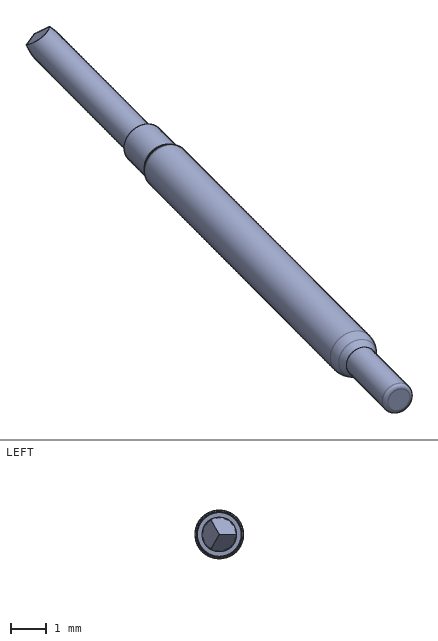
import cadquery as cq
import math

total_length = 23.62

plunger_radius = 0.97 / 2
collar_radius = 1.23 / 2
barrel_radius = 1.37 / 2
tail_radius = 0.92 / 2

collar_start = 7.09
shoulder_start = 8.39
barrel_start = 8.57
barrel_end = 20.6

shoulder_round = 0.15
shoulder_angle = math.radians(45)
neck_round = 0.7
neck_angle = math.radians(30)
tail_round = 0.12

tip_faces = 3
ridge_slope = math.tan(math.radians(45))


def rounded_edge(edge_x, direction, radius, angle):
    """Return the middle and end of an arc that leaves the barrel tangentially at edge_x."""
    return [
        (edge_x + direction * radius * math.sin(turn), barrel_radius - radius * (1 - math.cos(turn)))
        for turn in (angle / 2, angle)
    ]


def make_body():
    """Revolve the stepped outline, with a blunt front end, about X."""
    shoulder_middle, shoulder_end = rounded_edge(barrel_start, -1, shoulder_round, shoulder_angle)
    neck_middle, neck_end = rounded_edge(barrel_end, 1, neck_round, neck_angle)
    tail_start = neck_end[0] + (neck_end[1] - tail_radius) / math.tan(neck_angle)
    profile = (
        cq.Workplane("XY")
        .lineTo(0, plunger_radius)
        .lineTo(collar_start, plunger_radius)
        .lineTo(collar_start, collar_radius)
        .lineTo(shoulder_start, collar_radius)
        .lineTo(*shoulder_end)
        .threePointArc(shoulder_middle, (barrel_start, barrel_radius))
        .lineTo(barrel_end, barrel_radius)
        .threePointArc(neck_middle, neck_end)
        .lineTo(tail_start, tail_radius)
        .lineTo(total_length, tail_radius)
        .lineTo(total_length, 0)
        .close()
    )
    body = profile.revolve(360, (0, 0, 0), (1, 0, 0))
    return body.faces(">X").edges().fillet(tail_round)


def cut_tip(body):
    """Cut flat faces meeting at the origin, the first one facing +Y."""
    face_slope = ridge_slope * math.cos(math.pi / tip_faces)
    cut_height = 2 * plunger_radius
    cut_length = cut_height / face_slope
    cutter = (
        cq.Workplane("XY")
        .lineTo(cut_length, cut_height)
        .lineTo(-cut_height, cut_height)
        .lineTo(-cut_height, 0)
        .close()
        .extrude(cut_height, both=True)
    )
    for index in range(tip_faces):
        angle = index * 360 / tip_faces
        body = body.cut(cutter.rotate((0, 0, 0), (1, 0, 0), angle))
    return body


result = cut_tip(make_body())